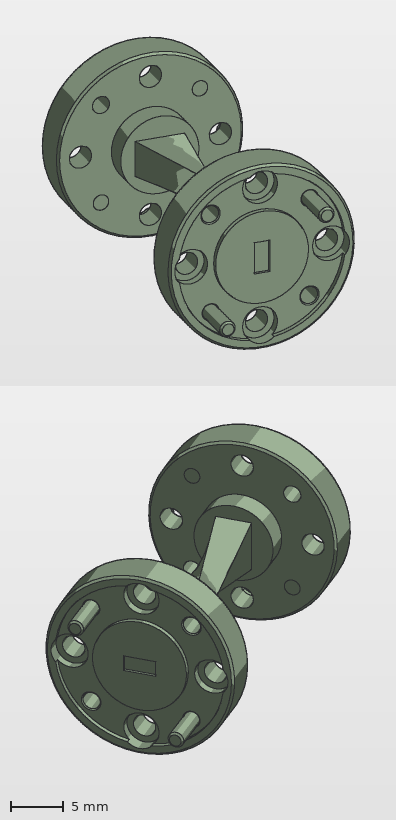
import cadquery as cq
import math

overall_length = 39.5
flange_diameter = 19.05
flange_face_x = 15.88
flange_thickness = 4.0
flange_chamfer = 0.25
hub_diameter = 7.98
hub_length = 2.35
flange_back_x = flange_face_x - flange_thickness
hub_end_x = flange_back_x - hub_length

boss_diameter = 9.48
rim_inner_diameter = 17.05
relief_depth = 0.5

bolt_circle_radius = 7.15
screw_hole_diameter = 2.25
screw_recess_diameter = 3.55
screw_recess_depth = 1.4
screw_hole_angles = [0, 90, 180, 270]
guide_hole_diameter = 1.75
guide_hole_chamfer = 0.1
pin_hole_chamfer = 0.08
guide_hole_angles = [135, 315]
pin_angles = [45, 225]

pin_diameter = 1.58
pin_chamfer = 0.2

guide_width = 5.05
guide_height = 3.65
port_width = 3.25
port_height = 1.58
port_depth = 0.3


def bolt_circle_point(angle):
    """Return the (y, z) position at an angle on the bolt circle."""
    turn = math.radians(angle)
    return bolt_circle_radius * math.cos(turn), bolt_circle_radius * math.sin(turn)


def cylinder_along_x(diameter, start_x, length, centre=(0, 0)):
    """Return a cylinder that starts at start_x and runs toward +X."""
    y, z = centre
    solid = cq.Solid.makeCylinder(diameter / 2, length, cq.Vector(start_x, y, z), cq.Vector(1, 0, 0))
    return cq.Workplane(obj=solid)


def flange_blank():
    """Chamfered disc with its hub; the mating face is at the +X side."""
    disc = cylinder_along_x(flange_diameter, flange_back_x, flange_thickness)
    disc = disc.edges("%CIRCLE").chamfer(flange_chamfer)
    hub = cylinder_along_x(hub_diameter, hub_end_x, hub_length)
    return disc.union(hub)


def face_relief():
    """Ring removed from the mating face between the boss and the rim."""
    floor_x = flange_face_x - relief_depth
    ring = cylinder_along_x(rim_inner_diameter, floor_x, relief_depth)
    return ring.cut(cylinder_along_x(boss_diameter, floor_x, relief_depth))


def screw_hole(angle):
    """Through hole with a counterbore in the mating face."""
    centre = bolt_circle_point(angle)
    hole = cylinder_along_x(screw_hole_diameter, flange_back_x, flange_thickness, centre)
    recess_x = flange_face_x - screw_recess_depth
    recess = cylinder_along_x(screw_recess_diameter, recess_x, screw_recess_depth, centre)
    return hole.union(recess)


def chamfered_hole(diameter, chamfer, angle):
    """Through hole for a pin, chamfered where it meets the relief floor."""
    y, z = bolt_circle_point(angle)
    floor_x = flange_face_x - relief_depth
    hole = cylinder_along_x(diameter, flange_back_x, floor_x - flange_back_x, (y, z))
    mouth = cq.Solid.makeCone(
        diameter / 2,
        diameter / 2 + chamfer,
        chamfer,
        cq.Vector(floor_x - chamfer, y, z),
        cq.Vector(1, 0, 0),
    )
    return hole.union(cq.Workplane(obj=mouth))


def flange():
    """Flange on the +X end with its relief, its holes and its upright waveguide port."""
    body = flange_blank().cut(face_relief())
    for angle in screw_hole_angles:
        body = body.cut(screw_hole(angle))
    for angle in guide_hole_angles:
        body = body.cut(chamfered_hole(guide_hole_diameter, guide_hole_chamfer, angle))
    for angle in pin_angles:
        body = body.cut(chamfered_hole(pin_diameter, pin_hole_chamfer, angle))
    port_centre_x = flange_face_x - port_depth / 2
    port = cq.Workplane("XY").box(port_depth, port_height, port_width)
    return body.cut(port.translate((port_centre_x, 0, 0)))


def twisted_guide():
    """Solid bounded by straight lines between two rectangles a quarter turn apart."""
    half_width = guide_width / 2
    half_height = guide_height / 2
    corners = [
        (-half_width, -half_height),
        (half_width, -half_height),
        (half_width, half_height),
        (-half_width, half_height),
    ]
    start = [cq.Vector(-hub_end_x, y, z) for y, z in corners]
    end = [cq.Vector(hub_end_x, z, -y) for y, z in corners]
    faces = [cq.Face.makeFromWires(cq.Wire.makePolygon(ring, close=True)) for ring in (start, end)]
    for i in range(len(corners)):
        start_edge = cq.Edge.makeLine(start[i - 1], start[i])
        end_edge = cq.Edge.makeLine(end[i - 1], end[i])
        faces.append(cq.Face.makeRuledSurface(start_edge, end_edge))
    solid = cq.Solid.makeSolid(cq.Shell.makeShell(faces))
    return cq.Workplane(obj=solid.fix())


def twist_waveguide():
    """Twisted guide with a flange on each end, as one body."""
    end_flange = flange()
    start_flange = end_flange.rotate((0, 0, 0), (0, 0, 1), 180).rotate((0, 0, 0), (1, 0, 0), 90)
    return twisted_guide().union(end_flange).union(start_flange)


def dowel_pin(side, angle):
    """Pin through the flange on one side (-1 or +1 along X), chamfered at its free end."""
    length = overall_length / 2 - flange_back_x
    start_x = flange_back_x if side > 0 else -overall_length / 2
    pin = cylinder_along_x(pin_diameter, start_x, length, bolt_circle_point(angle))
    free_end = ">X" if side > 0 else "<X"
    return pin.faces(free_end).chamfer(pin_chamfer).val()


waveguide = twist_waveguide().solids().val()
pins = [dowel_pin(side, angle) for side in (-1, 1) for angle in pin_angles]

result = cq.Compound.makeCompound([waveguide, *pins])